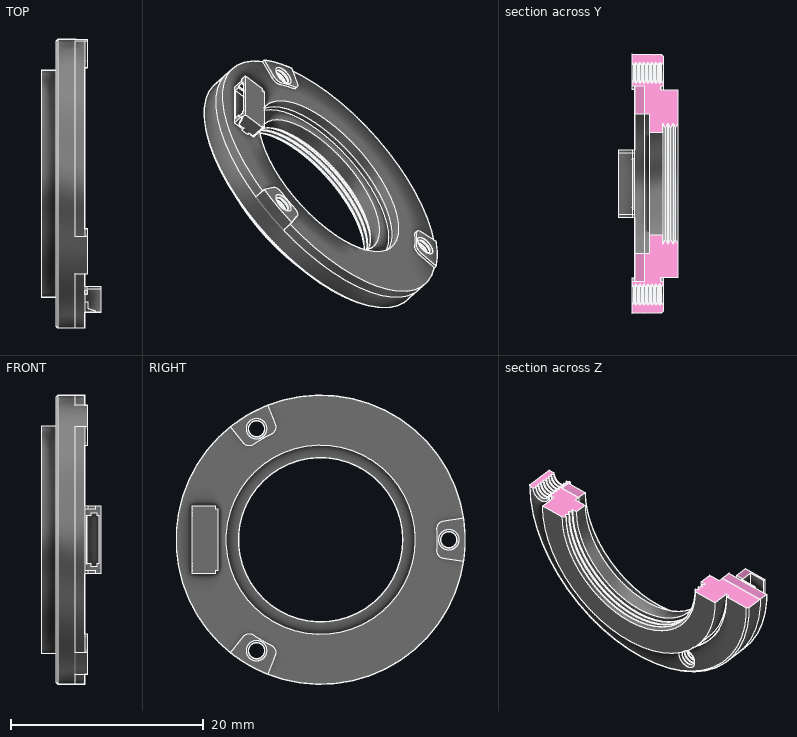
import cadquery as cq
import math

FLANGE_FRONT_X = 1.5
BOARD_FRONT_X = 3.5
BOARD_BACK_X = 4.53
TAB_BACK_X = 4.8
CONNECTOR_BACK_X = 6.2

OUTER_DIAMETER = 30.0
BOSS_DIAMETER = 23.6
FLANGE_CHAMFER = 0.2
GROOVE_DIAMETER = 24.2
GROOVE_DEPTH = 0.3
BORE_DIAMETER = 17.0
THREAD_END_X = 1.6
BACK_BORE_DIAMETER = 19.6
BACK_BORE_FRONT_X = 3.0

BOARD_BORE_DIAMETER = BACK_BORE_DIAMETER

BORE_THREAD_ROOT_DIAMETER = 18.2
BORE_THREAD_CREST_DIAMETER = 17.63
BORE_THREAD_COUNT = 3
SCREW_ROOT_DIAMETER = 2.13
SCREW_CREST_DIAMETER = 1.65
SCREW_THREAD_COUNT = 8
CREST_FLAT_RATIO = 1 / 4
ROOT_FLAT_RATIO = 1 / 8

TAB_COUNT = 3
TAB_CHORD = 4.5
TAB_INNER_RADIUS = 12.1
TAB_CORNER_RADIUS = 0.8
SCREW_CIRCLE_RADIUS = 13.3

CONNECTOR_HALF_LENGTH = 3.5
CONNECTOR_BACK_Y = -10.62
CONNECTOR_FRONT_Y = -13.32
MOUTH_DEPTH = 1.8
MOUTH_X = (4.68, 5.97)
MOUTH_HALF_LENGTH = 2.5
KEY_X = (5.15, 5.8)
KEY_HALF_LENGTH = 2.75
END_RECESS_DEPTH = 0.3
END_RECESS_Y = -12.27
END_RECESS_STEP_X = 4.83
END_RECESS_SLOPE_Y = (-12.93, -13.2)
END_RECESS_BACK_X = 5.65
NOTCH_HEIGHT = 0.2
NOTCH_WIDTH = 0.8
BACK_STEP_WIDTH = 0.27
BACK_STEP_DEPTH = 0.3

FOOT_WIDTH = 0.45
FOOT_LENGTH = 0.6


def disc(diameter, start_x, end_x):
    """Cylinder along X."""
    return (
        cq.Workplane("YZ", origin=(start_x, 0, 0))
        .circle(diameter / 2)
        .extrude(end_x - start_x)
    )


def block(x_range, y_range, z_range):
    """Box between pairs of coordinates."""
    low, high = zip(*(sorted(pair) for pair in (x_range, y_range, z_range)))
    size = cq.Vector(high) - cq.Vector(low)
    return cq.Workplane().box(*size.toTuple(), centered=False).translate(low)


def threaded_hole(root_diameter, crest_diameter, thread_count, start_x, end_x):
    """Cutter along X: a 45 degree entry chamfer, then ring-shaped threads with flat crests and roots.

    The last groove is cut through by the end plane, so the hole ends at its root diameter.
    """
    pitch = (end_x - start_x) / thread_count
    root_half = pitch * ROOT_FLAT_RATIO / 2
    groove_half = pitch * (1 - CREST_FLAT_RATIO) / 2
    root_radius = root_diameter / 2
    crest_radius = crest_diameter / 2
    wall = [(start_x, root_radius), (start_x + root_radius - crest_radius, crest_radius)]
    for i in range(1, thread_count + 1):
        groove_x = start_x + i * pitch
        wall.append((groove_x - groove_half, crest_radius))
        wall.append((groove_x - root_half, root_radius))
        if i < thread_count:
            wall.append((groove_x + root_half, root_radius))
            wall.append((groove_x + groove_half, crest_radius))
    wall.append((end_x, root_radius))
    return (
        cq.Workplane("XY")
        .polyline([(start_x, 0), *wall, (end_x, 0)])
        .close()
        .revolve(360, (0, 0, 0), (1, 0, 0))
    )


def tab_copies(shape):
    """Copies of a shape on the +Y side, spread evenly about the ring axis."""
    return [shape.rotate((0, 0, 0), (1, 0, 0), i * 360 / TAB_COUNT) for i in range(TAB_COUNT)]


def screw_tab():
    """Sector-shaped tab on the +Y side, rounded at its inner corners."""
    half_angle = math.asin(TAB_CHORD / OUTER_DIAMETER)

    def at(radius, angle):
        return (radius * math.cos(angle), radius * math.sin(angle))

    inner = TAB_INNER_RADIUS
    outer = OUTER_DIAMETER / 2
    return (
        cq.Workplane("YZ", origin=(BOARD_FRONT_X, 0, 0))
        .moveTo(*at(inner, -half_angle))
        .lineTo(*at(outer, -half_angle))
        .threePointArc((outer, 0), at(outer, half_angle))
        .lineTo(*at(inner, half_angle))
        .threePointArc((inner, 0), at(inner, -half_angle))
        .close()
        .extrude(TAB_BACK_X - BOARD_FRONT_X)
        .edges("|X and <Y")
        .fillet(TAB_CORNER_RADIUS)
    )


def make_housing():
    """Flanged ring with a front boss, an undercut groove about the boss and three screw tabs."""
    body = disc(OUTER_DIAMETER, FLANGE_FRONT_X, BOARD_FRONT_X).faces("<X").chamfer(FLANGE_CHAMFER)
    for tab in tab_copies(screw_tab()):
        body = body.union(tab)
    body = body.cut(disc(GROOVE_DIAMETER, FLANGE_FRONT_X, FLANGE_FRONT_X + GROOVE_DEPTH))
    body = body.union(disc(BOSS_DIAMETER, 0, BOARD_FRONT_X))
    body = body.cut(disc(BORE_DIAMETER, 0, BOARD_FRONT_X))
    body = body.cut(disc(BACK_BORE_DIAMETER, BACK_BORE_FRONT_X, BOARD_FRONT_X))
    body = body.cut(
        threaded_hole(
            BORE_THREAD_ROOT_DIAMETER, BORE_THREAD_CREST_DIAMETER, BORE_THREAD_COUNT, 0, THREAD_END_X
        )
    )
    screw_hole = threaded_hole(
        SCREW_ROOT_DIAMETER, SCREW_CREST_DIAMETER, SCREW_THREAD_COUNT, FLANGE_FRONT_X, TAB_BACK_X
    )
    for cutter in tab_copies(screw_hole.translate((0, SCREW_CIRCLE_RADIUS, 0))):
        body = body.cut(cutter)
    return body


def make_board():
    """Ring-shaped circuit board, notched around the screw tabs."""
    board = disc(OUTER_DIAMETER, BOARD_FRONT_X, BOARD_BACK_X)
    board = board.cut(disc(BOARD_BORE_DIAMETER, BOARD_FRONT_X, BOARD_BACK_X))
    for tab in tab_copies(screw_tab()):
        board = board.cut(tab)
    return board


def make_connector():
    """Side-entry connector: mouth toward -Y, seated on the back of the board."""
    whole_x = (BOARD_BACK_X, CONNECTOR_BACK_X)
    whole_z = (-CONNECTOR_HALF_LENGTH, CONNECTOR_HALF_LENGTH)
    body = block(whole_x, (CONNECTOR_FRONT_Y, CONNECTOR_BACK_Y), whole_z)

    mouth_y = (CONNECTOR_FRONT_Y, CONNECTOR_FRONT_Y + MOUTH_DEPTH)
    body = body.cut(block(MOUTH_X, mouth_y, (-MOUTH_HALF_LENGTH, MOUTH_HALF_LENGTH)))
    body = body.cut(block(KEY_X, mouth_y, (-KEY_HALF_LENGTH, KEY_HALF_LENGTH)))

    notch_x = (BOARD_BACK_X, BOARD_BACK_X + NOTCH_HEIGHT)
    body = body.cut(block(notch_x, (CONNECTOR_BACK_Y - NOTCH_WIDTH, CONNECTOR_BACK_Y), whole_z))

    end_recess = (
        cq.Workplane("XY", origin=(0, 0, CONNECTOR_HALF_LENGTH - END_RECESS_DEPTH))
        .polyline([
            (BOARD_BACK_X, END_RECESS_Y),
            (END_RECESS_STEP_X, END_RECESS_Y),
            (END_RECESS_STEP_X, END_RECESS_SLOPE_Y[0]),
            (END_RECESS_BACK_X, END_RECESS_SLOPE_Y[1]),
            (END_RECESS_BACK_X, CONNECTOR_FRONT_Y),
            (BOARD_BACK_X, CONNECTOR_FRONT_Y),
        ])
        .close()
        .extrude(END_RECESS_DEPTH)
    )
    back_step = block(
        whole_x,
        (CONNECTOR_BACK_Y - BACK_STEP_WIDTH, CONNECTOR_BACK_Y),
        (CONNECTOR_HALF_LENGTH - BACK_STEP_DEPTH, CONNECTOR_HALF_LENGTH),
    )
    for cutter in (end_recess, back_step):
        body = body.cut(cutter).cut(cutter.mirror("XY"))
    return body


def make_foot(side):
    """Solder foot in the notch under the connector; side is +1 or -1 along Z."""
    inner_z = CONNECTOR_HALF_LENGTH - BACK_STEP_DEPTH - FOOT_LENGTH
    return block(
        (BOARD_BACK_X, BOARD_BACK_X + NOTCH_HEIGHT),
        (CONNECTOR_BACK_Y - FOOT_WIDTH, CONNECTOR_BACK_Y),
        (side * inner_z, side * (inner_z + FOOT_LENGTH)),
    )


housing = make_housing()
board = make_board()
connector = make_connector()
feet = [make_foot(side) for side in (-1, 1)]

result = cq.Compound.makeCompound(
    [housing.val(), board.val(), connector.val(), *[foot.val() for foot in feet]]
)